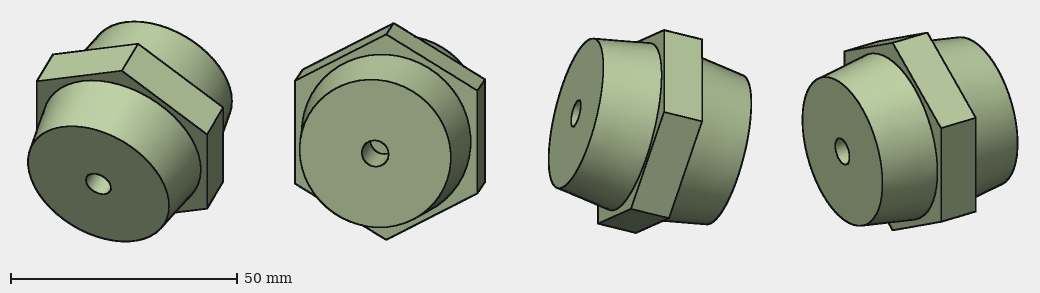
import cadquery as cq

corner_diameter = 47.35
total_length = 35.0
collar_width = 9.0
boss_root_diameter = 38.0
boss_end_diameter = 34.0
hole_diameter = 6.0
hole_depth = 10.0

half_length = total_length / 2
half_collar = collar_width / 2


def make_collar():
    """Hexagon centred on the origin, with corners at the top and bottom."""
    return (
        cq.Workplane("XZ")
        .transformed(rotate=(0, 0, 90))
        .polygon(6, corner_diameter)
        .extrude(half_collar, both=True)
    )


def make_bosses():
    """Both tapered bosses as one revolved body, widest inside the collar faces."""
    root_radius = boss_root_diameter / 2
    end_radius = boss_end_diameter / 2
    return (
        cq.Workplane("XY")
        .moveTo(0, -half_length)
        .lineTo(end_radius, -half_length)
        .lineTo(root_radius, -half_collar)
        .lineTo(root_radius, half_collar)
        .lineTo(end_radius, half_length)
        .lineTo(0, half_length)
        .close()
        .revolve(360, (0, 0, 0), (0, 1, 0))
    )


result = make_collar().union(make_bosses())

for end_face in ("<Y", ">Y"):
    result = result.faces(end_face).workplane(centerOption="CenterOfBoundBox").hole(hole_diameter, hole_depth)